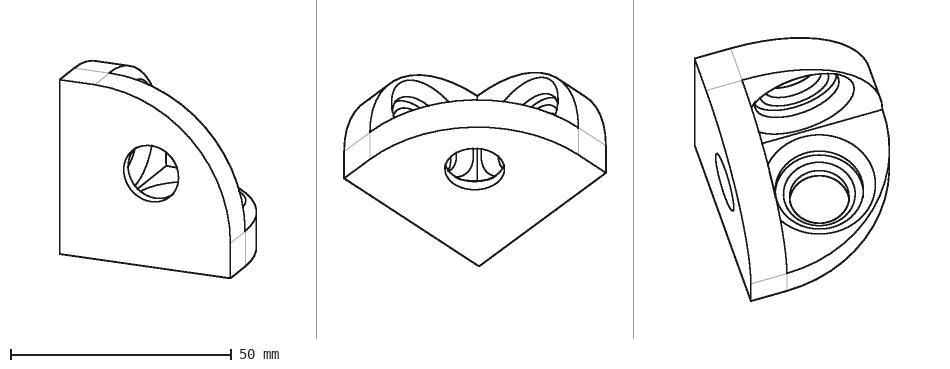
import cadquery as cq

size = 42.0
wall = 8.55
corner_radius = size - wall
hole_offset = 22.5

bore_diameter = 13.5
seat_diameter = 16.25
recess_diameter = 20.0
mouth_diameter = 25.45
seat_chamfer_depth = (seat_diameter - bore_diameter) / 2
mouth_chamfer_depth = (mouth_diameter - recess_diameter) / 2
recess_depth = 4.6

plate_planes = [
    cq.Plane(origin=(0, 0, 0), xDir=(1, 0, 0), normal=(0, 0, 1)),
    cq.Plane(origin=(0, 0, 0), xDir=(0, 1, 0), normal=(1, 0, 0)),
    cq.Plane(origin=(0, 0, 0), xDir=(0, 0, 1), normal=(0, 1, 0)),
]


def make_plate(plane):
    """Square plate with its far corner rounded."""
    plate = cq.Workplane(plane).rect(size, size, centered=False).extrude(wall)
    block_edge = plane.toWorldCoords((size, size, wall / 2))
    return plate.edges(cq.selectors.NearestToPointSelector(block_edge.toTuple())).fillet(corner_radius)


def make_hole_cutter(plane):
    """Turned shape of the bore, chamfered seat, recess and flared mouth."""
    seat_level = wall - recess_depth
    profile = [
        (0, 0),
        (bore_diameter / 2, 0),
        (bore_diameter / 2, seat_level - seat_chamfer_depth),
        (seat_diameter / 2, seat_level),
        (recess_diameter / 2, seat_level),
        (recess_diameter / 2, wall - mouth_chamfer_depth),
        (mouth_diameter / 2, wall),
        (0, wall),
    ]
    axis_foot = plane.toWorldCoords((hole_offset, hole_offset, 0))
    turning_plane = cq.Plane(origin=axis_foot, xDir=plane.xDir, normal=plane.xDir.cross(plane.zDir))
    return cq.Workplane(turning_plane).polyline(profile).close().revolve(360, (0, 0, 0), (0, 1, 0))


result = make_plate(plate_planes[0])
for plane in plate_planes[1:]:
    result = result.union(make_plate(plane))
for plane in plate_planes:
    result = result.cut(make_hole_cutter(plane))